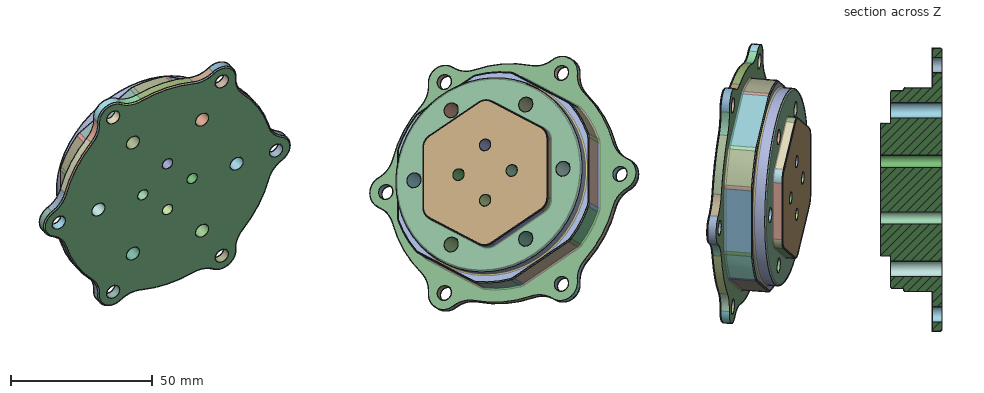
import cadquery as cq
import math

pad_thickness = 3.5
disc_thickness = 4.7
body_thickness = 10.1
flange_thickness = 3.5

pad_half_width = 23.5
pad_corner_radius = 5.0
pad_chamfer = 0.3
pad_root_radius = 0.2

disc_radius = 35.0
disc_chamfer = 0.5
disc_root_radius = 0.5

body_radius = 38.1
body_half_width = 36.0
body_corner_radius = 4.0
body_chamfer = 0.4
body_root_radius = 0.5

flange_radius = 43.0
flange_chamfer = 0.5
ear_circle_radius = 44.0
ear_radius = 6.0
ear_blend_radius = 10.0

ear_hole_diameter = 5.3
disc_hole_diameter = 5.3
disc_hole_circle_radius = 28.0
pad_hole_diameter = 4.2
pad_hole_circle_radius = 10.0
pad_hole_count = 4

sides = 6

tolerance = 0.01

total_thickness = pad_thickness + disc_thickness + body_thickness + flange_thickness
disc_start = pad_thickness
body_start = disc_start + disc_thickness
flange_start = body_start + body_thickness
pad_reach = pad_half_width / math.cos(math.pi / sides)


def plane_at(x):
    """YZ plane at the given X, facing +X."""
    return cq.Workplane("YZ", origin=(x, 0, 0))


def polar(radius, angle):
    """Point at a radius and an angle in degrees."""
    return (radius * math.cos(math.radians(angle)), radius * math.sin(math.radians(angle)))


def hexagon(x, half_width, length):
    """Hexagonal prism with two flats facing +Y and -Y."""
    corner_distance = half_width / math.cos(math.pi / sides)
    corners = [polar(corner_distance, 360 / sides * (i + 0.5)) for i in range(sides)]
    return plane_at(x).polyline(corners).close().extrude(length)


def make_pad():
    pad = hexagon(0, pad_half_width, pad_thickness)
    pad = pad.edges("|X").fillet(pad_corner_radius)
    return pad.faces("<X").edges().chamfer(pad_chamfer)


def make_disc():
    disc = plane_at(disc_start).circle(disc_radius).extrude(disc_thickness)
    return disc.faces("<X").edges().chamfer(disc_chamfer)


def make_body():
    body = plane_at(body_start).circle(body_radius).extrude(body_thickness)
    body = body.intersect(hexagon(body_start, body_half_width, body_thickness))
    body = body.edges("|X").fillet(body_corner_radius)
    return body.faces("<X").edges().chamfer(body_chamfer)


def make_flange():
    blend_distance = flange_radius + ear_blend_radius
    ear_reach = ear_radius + ear_blend_radius
    blend_angle = math.degrees(math.acos(
        (blend_distance**2 + ear_circle_radius**2 - ear_reach**2)
        / (2 * blend_distance * ear_circle_radius)))

    def along(start, end, distance):
        """Point at a distance from start towards end."""
        ratio = distance / math.dist(start, end)
        return tuple(a + (b - a) * ratio for a, b in zip(start, end))

    pitch = 360 / sides
    outline = plane_at(flange_start).moveTo(*polar(flange_radius, -blend_angle))
    for i in range(sides):
        angle = i * pitch
        ear_center = polar(ear_circle_radius, angle)
        blend_in = polar(blend_distance, angle - blend_angle)
        blend_out = polar(blend_distance, angle + blend_angle)
        ear_start = along(ear_center, blend_in, ear_radius)
        ear_end = along(ear_center, blend_out, ear_radius)
        ear_foot = polar(ear_circle_radius - ear_radius, angle)
        blend_in_middle = along(blend_in, ear_foot, ear_blend_radius)
        blend_out_middle = along(blend_out, ear_foot, ear_blend_radius)
        outline = (
            outline.threePointArc(blend_in_middle, ear_start)
            .threePointArc(polar(ear_circle_radius + ear_radius, angle), ear_end)
            .threePointArc(blend_out_middle, polar(flange_radius, angle + blend_angle))
            .threePointArc(
                polar(flange_radius, angle + pitch / 2),
                polar(flange_radius, angle + pitch - blend_angle),
            )
        )
    flange = outline.close().extrude(flange_thickness)
    return flange.faces(">X").edges().chamfer(flange_chamfer)


def hole_pattern(diameter, circle_radius, count):
    """Ring of round cutters through the whole thickness."""
    centers = [polar(circle_radius, 360 / count * i) for i in range(count)]
    return plane_at(0).pushPoints(centers).circle(diameter / 2).extrude(total_thickness)


def join(base, layer, foot_x, foot_reach, root_radius):
    """Join a layer onto a wider one, with a concave fillet round its foot in the plane at foot_x."""

    def is_foot(edge):
        center = edge.Center()
        box = edge.BoundingBox()
        in_plane = box.xlen < tolerance and abs(center.x - foot_x) < tolerance
        return in_plane and math.hypot(center.y, center.z) < foot_reach + tolerance

    joined = base.union(layer)
    return joined.edges().filter(is_foot).fillet(root_radius)


result = join(make_flange(), make_body(), flange_start, body_radius, body_root_radius)
result = join(result, make_disc(), body_start, disc_radius, disc_root_radius)
result = join(result, make_pad(), disc_start, pad_reach, pad_root_radius)
result = result.cut(hole_pattern(ear_hole_diameter, ear_circle_radius, sides))
result = result.cut(hole_pattern(disc_hole_diameter, disc_hole_circle_radius, sides))
result = result.cut(hole_pattern(pad_hole_diameter, pad_hole_circle_radius, pad_hole_count))